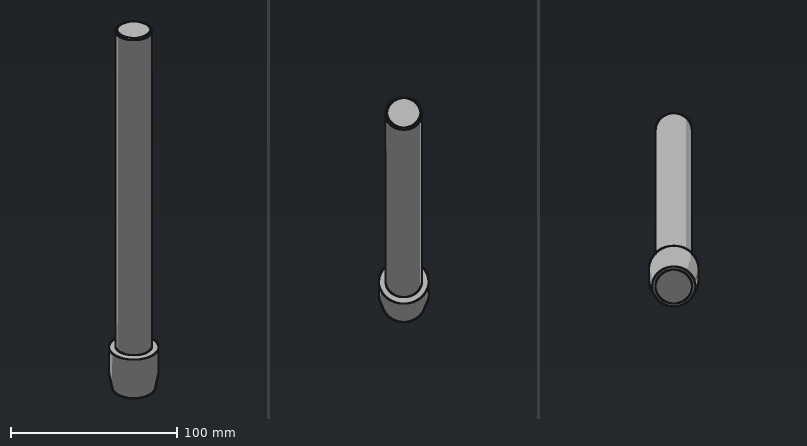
import cadquery as cq

total_length = 250.0

pin_radius = 11.0
pin_chamfer = 1.0

sleeve_radius = 15.0
sleeve_height = 29.0
bore_radius = pin_radius
top_slope_drop = 0.8
nose_height = 10.5
nose_inset = 2.0
nose_radius = sleeve_radius - nose_inset


def make_pin():
    """Full-length round pin with a chamfered upper end."""
    blank = cq.Workplane("XY").circle(pin_radius).extrude(total_length)
    return blank.faces(">Z").edges().chamfer(pin_chamfer)


def make_sleeve():
    """Turned sleeve with a bore that fits the pin, a tapered nose and a sloped upper face."""
    profile = (
        cq.Workplane("YZ")
        .moveTo(bore_radius, 0)
        .lineTo(nose_radius, 0)
        .lineTo(sleeve_radius, nose_height)
        .lineTo(sleeve_radius, sleeve_height - top_slope_drop)
        .lineTo(bore_radius, sleeve_height)
        .close()
    )
    return profile.revolve(360, (0, 0, 0), (0, 1, 0))


pin = make_pin()
sleeve = make_sleeve()
result = cq.Compound.makeCompound([pin.val(), sleeve.val()])